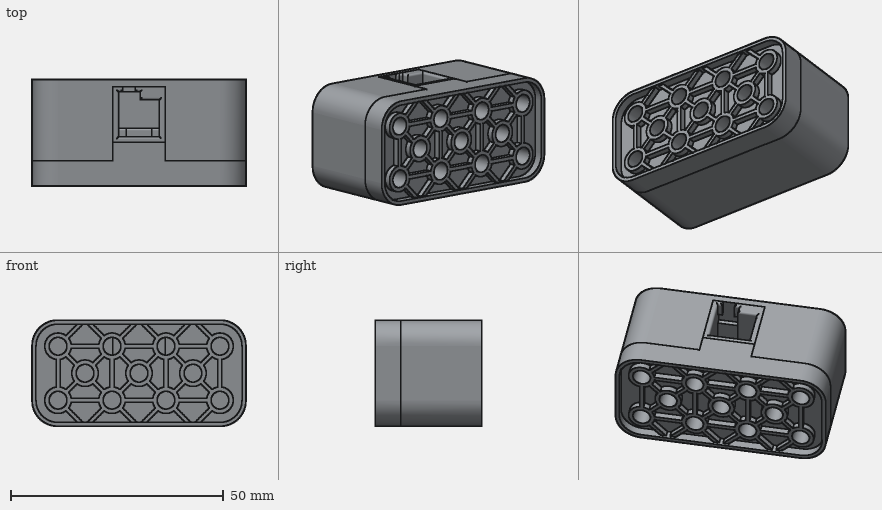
import cadquery as cq

LENGTH = 50.5
DEPTH = 25.15
HEIGHT = 25.1
CORNER_RADIUS = 6.1
FRONT_Y = -DEPTH / 2
BACK_Y = DEPTH / 2
TOP_Z = HEIGHT / 2

PLATE_DEPTH = 6.0
SEAM_Y = FRONT_Y + PLATE_DEPTH
WALL = 0.95
RECESS_DEPTH = 2.2
GRID_SETBACK = 0.65
GRID_Y = FRONT_Y + GRID_SETBACK
FLOOR_Y = FRONT_Y + RECESS_DEPTH
HOLE_PITCH = 12.75
ROW_Z = HOLE_PITCH / 2
HOLE_DIAMETER = 4.2
BOSS_DIAMETER = 6.25
HOLE_COLUMNS = 4
RIB_WIDTH = WALL

PORT_WIDTH = 12.4
PORT_FRONT_Y = -2.25
PORT_BACK_Y = 10.8
PORT_HEIGHT = 15.15
PORT_BOTTOM_Z = TOP_Z - PORT_HEIGHT
PORT_FLOOR = 1.0
SOCKET_FLOOR_Z = PORT_BOTTOM_Z + PORT_FLOOR
SOCKET_WIDTH = 9.65
SOCKET_FRONT_Y = -0.95
SOCKET_STEP_X = 0.25
SOCKET_STEP_Y = 7.8
SOCKET_BACK_Y = 9.65
RIM_RADIUS = 0.5

LATCH_LEFT_X = -3.8
LATCH_RIGHT_X = -0.9
LATCH_STOP_HEIGHT = 3.3
CATCH_BOTTOM_DEPTH = 6.05

SHELF_DEPTH = 2.05
SHELF_EDGE_RADIUS = 0.6
SHELF_HEIGHT = 7.05
CONTACT_WIDTH = 5.95
CONTACT_STEP = 0.25


def box(x_range, y_range, z_range):
    """Axis-aligned box between the given limits."""
    size = [high - low for low, high in (x_range, y_range, z_range)]
    corner = (x_range[0], y_range[0], z_range[0])
    return cq.Workplane("XY").box(*size, centered=False).translate(corner)


def rounded_block(inset, y_start, y_end):
    """Block with the rounded outline of the part, moved in by inset, between two Y levels."""
    return (
        cq.Workplane("XZ", origin=(0, y_start, 0))
        .rect(LENGTH - 2 * inset, HEIGHT - 2 * inset)
        .extrude(y_start - y_end)
        .edges("|Y")
        .fillet(CORNER_RADIUS - inset)
    )


def port_bay(y_start, y_end):
    """Box of the port's width and height, below the top face, between two Y levels."""
    return box((-PORT_WIDTH / 2, PORT_WIDTH / 2), (y_start, y_end), (PORT_BOTTOM_Z, TOP_Z))


def cylinders(points, diameter, y_start, y_end):
    """Round bars along Y at the given (x, z) points."""
    return (
        cq.Workplane("XZ", origin=(0, y_start, 0))
        .pushPoints(points)
        .circle(diameter / 2)
        .extrude(y_start - y_end)
    )


def rib(center, length, angle):
    """Straight rib from the recess floor to the grid face, turned by angle about Y."""
    return (
        cq.Workplane("XZ", origin=(0, GRID_Y, 0))
        .center(*center)
        .transformed(rotate=(0, 0, angle))
        .rect(length, RIB_WIDTH)
        .extrude(GRID_Y - FLOOR_Y)
    )


def column_positions(count):
    """X positions of evenly spaced columns centered on the part."""
    return [(i - (count - 1) / 2) * HOLE_PITCH for i in range(count)]


def make_grid(hole_points):
    """Bosses joined by upright, level and diagonal ribs, clipped to the recess."""
    diagonal = HOLE_PITCH * 2 ** 0.5
    grid = cylinders(hole_points, BOSS_DIAMETER, GRID_Y, FLOOR_Y)
    for x in column_positions(HOLE_COLUMNS):
        grid = grid.union(rib((x, 0), HOLE_PITCH, 90))
    for z in (-ROW_Z, ROW_Z):
        grid = grid.union(rib((0, z), (HOLE_COLUMNS - 1) * HOLE_PITCH, 0))
    for x in column_positions(HOLE_COLUMNS - 1):
        for z in (-HOLE_PITCH, 0, HOLE_PITCH):
            for angle in (-45, 45):
                grid = grid.union(rib((x, z), diagonal, angle))
    return grid.intersect(rounded_block(WALL, GRID_Y, FLOOR_Y))


def make_mounting_plate():
    """Plate with a ribbed hole grid in its front and a tab that reaches back to the port."""
    hole_points = [(x, z) for x in column_positions(HOLE_COLUMNS) for z in (-ROW_Z, ROW_Z)]
    hole_points += [(x, 0) for x in column_positions(HOLE_COLUMNS - 1)]
    plate = rounded_block(0, FRONT_Y, SEAM_Y)
    plate = plate.cut(rounded_block(WALL, FRONT_Y, FLOOR_Y))
    plate = plate.union(make_grid(hole_points))
    plate = plate.cut(cylinders(hole_points, HOLE_DIAMETER, GRID_Y, SEAM_Y))
    return plate.union(port_bay(SEAM_Y, PORT_FRONT_Y))


def make_housing():
    """Solid block behind the plate with a bay for the plate's tab and the port."""
    return rounded_block(0, SEAM_Y, BACK_Y).cut(port_bay(SEAM_Y, PORT_BACK_Y))


def socket_prism(back_y, z_range):
    """Socket opening, narrower behind its step, between two Z levels."""
    half = SOCKET_WIDTH / 2
    wide = box((-half, half), (SOCKET_FRONT_Y, SOCKET_STEP_Y), z_range)
    narrow = box((-half, SOCKET_STEP_X), (SOCKET_FRONT_Y, back_y), z_range)
    return wide.union(narrow)


def shelf(width, height):
    """Shelf on the socket floor against the front wall, with a rounded top edge."""
    return box(
        (-width / 2, width / 2),
        (SOCKET_FRONT_Y, SOCKET_FRONT_Y + SHELF_DEPTH),
        (SOCKET_FLOOR_Z, SOCKET_FLOOR_Z + height),
    ).edges("|X and >Y and >Z").fillet(SHELF_EDGE_RADIUS)


def make_port():
    """Port block with a stepped socket, latch opening and catch, rounded rim and contact shelf."""
    stop_z = TOP_Z - LATCH_STOP_HEIGHT
    port = port_bay(PORT_FRONT_Y, PORT_BACK_Y)
    port = port.cut(socket_prism(SOCKET_BACK_Y, (stop_z, TOP_Z)))
    latch = box((LATCH_LEFT_X, LATCH_RIGHT_X), (SOCKET_STEP_Y, PORT_BACK_Y), (stop_z, TOP_Z))
    port = port.cut(latch)

    rim_zone = cq.selectors.BoxSelector(
        (-PORT_WIDTH / 2 + RIM_RADIUS, PORT_FRONT_Y + RIM_RADIUS, stop_z),
        (PORT_WIDTH / 2 - RIM_RADIUS, PORT_BACK_Y - RIM_RADIUS / 2, TOP_Z + RIM_RADIUS),
    )
    port = port.faces(">Z").edges(rim_zone).fillet(RIM_RADIUS)

    catch_z = TOP_Z - CATCH_BOTTOM_DEPTH
    port = port.cut(socket_prism(PORT_BACK_Y, (catch_z, stop_z)))
    port = port.cut(socket_prism(SOCKET_BACK_Y, (SOCKET_FLOOR_Z, catch_z)))

    port = port.union(shelf(SOCKET_WIDTH, SHELF_HEIGHT))
    return port.union(shelf(CONTACT_WIDTH, SHELF_HEIGHT + CONTACT_STEP))


mounting_plate = make_mounting_plate()
housing = make_housing()
port = make_port()

result = cq.Compound.makeCompound([
    mounting_plate.solids().val(),
    housing.solids().val(),
    port.solids().val(),
])